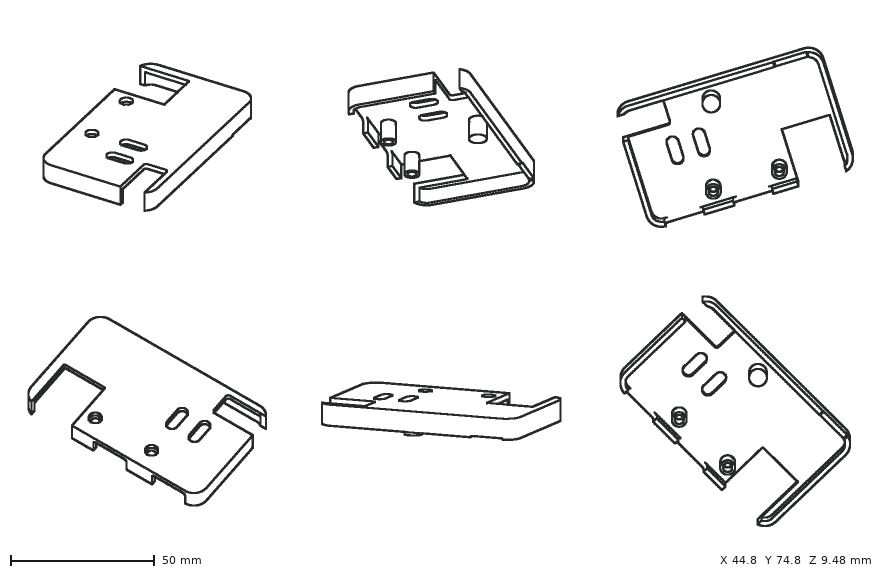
import cadquery as cq

LENGTH_X = 44.8
LENGTH_Y = 74.8
TOTAL_HEIGHT = 9.48
SHELL_HEIGHT = 7.5
PLATE_THICKNESS = 2.0
WALL = 1.8
INNER_CORNER_RADIUS = 3.6
OUTER_CORNER_RADIUS = INNER_CORNER_RADIUS + WALL

PLATE_UNDERSIDE = SHELL_HEIGHT - PLATE_THICKNESS
BOSS_BOTTOM = SHELL_HEIGHT - TOTAL_HEIGHT

LEFT = -LENGTH_X / 2
RIGHT = LENGTH_X / 2
FRONT = -LENGTH_Y / 2
BACK = LENGTH_Y / 2

BOSS_X = 15.0
SCREW_BOSS_DIAMETER = 5.2
SCREW_BOSS_YS = (11.5, -12.5)
SCREW_HOLE_DIAMETER = 3.2
SCREW_HEAD_DIAMETER = 4.6
SCREW_HEAD_DEPTH = 1.7
SCREW_SEAT_TAPER_HEIGHT = 0.7
SUPPORT_BOSS_DIAMETER = 6.2
SUPPORT_BOSS_Y = -4.0

BACK_OPENING_DEPTH = 19.9
BACK_OPENING_WIDTH = 17.4
BACK_OPENING_MARGIN = 3.8

FRONT_OPENING_WIDTH = 9.2
FRONT_OPENING_DEPTH = 17.3
FRONT_OPENING_MARGIN = 2.5
FRONT_OPENING_RADIUS = 1.0

WINDOW_WIDTH = 14.1
WINDOW_YS = (0.0, -25.0)
WINDOW_RADIUS = 1.0

RECESS_WIDTH = 12.4
RECESS_DEPTH = 0.5
RECESS_Y = 26.9
RECESS_CHAMFER = 0.4
RECESS_INNER_REACH = 1.0

SLOT_LENGTH = 10.1
SLOT_WIDTH = 4.15
SLOT_X = 1.3
SLOT_YS = (-11.8, -21.4)


def box_between(x_range, y_range, z_range):
    """Axis-aligned box given by its lower and upper limits."""
    (x0, x1), (y0, y1), (z0, z1) = x_range, y_range, z_range
    return cq.Workplane("XY").box(x1 - x0, y1 - y0, z1 - z0, centered=False).translate((x0, y0, z0))


def cylinder(diameter, x, y, z_bottom, z_top):
    """Vertical cylinder between two heights."""
    base = cq.Workplane("XY", origin=(x, y, z_bottom))
    return base.circle(diameter / 2).extrude(z_top - z_bottom)


def make_shell():
    """Rounded lid with a flat plate on top and a wall all round."""
    outer = cq.Workplane("XY").rect(LENGTH_X, LENGTH_Y).extrude(SHELL_HEIGHT)
    outer = outer.edges("|Z").fillet(OUTER_CORNER_RADIUS)
    cavity = cq.Workplane("XY").rect(LENGTH_X - 2 * WALL, LENGTH_Y - 2 * WALL).extrude(PLATE_UNDERSIDE)
    cavity = cavity.edges("|Z").fillet(INNER_CORNER_RADIUS)
    return outer.cut(cavity)


def back_opening():
    """Cutter that removes plate and wall at the back left corner."""
    y_top = BACK - BACK_OPENING_MARGIN
    return box_between(
        (LEFT, LEFT + BACK_OPENING_DEPTH),
        (y_top - BACK_OPENING_WIDTH, y_top),
        (0, SHELL_HEIGHT),
    )


def front_opening():
    """Cutter for the front right corner, with rounded inner corners."""
    x_right = RIGHT - FRONT_OPENING_MARGIN
    cutter = box_between(
        (x_right - FRONT_OPENING_WIDTH, x_right),
        (FRONT, FRONT + FRONT_OPENING_DEPTH),
        (0, SHELL_HEIGHT),
    )
    return cutter.edges("|Z and >Y").fillet(FRONT_OPENING_RADIUS)


def window(y):
    """Cutter for a window in the left wall, open at the rim."""
    cutter = box_between(
        (LEFT, LEFT + WALL),
        (y - WINDOW_WIDTH / 2, y + WINDOW_WIDTH / 2),
        (0, PLATE_UNDERSIDE),
    )
    return cutter.edges("|X and >Z").fillet(WINDOW_RADIUS)


def rim_recess():
    """Cutter for a shallow sloped-end recess in the right rim, reaching in past the rounded inner corner."""
    cutter = box_between(
        (RIGHT - WALL - RECESS_INNER_REACH, RIGHT),
        (RECESS_Y - RECESS_WIDTH / 2, RECESS_Y + RECESS_WIDTH / 2),
        (0, RECESS_DEPTH),
    )
    return cutter.edges("|X and >Z").chamfer(RECESS_CHAMFER)


def plate_slot(y):
    """Cutter for a round-ended slot through the plate."""
    base = cq.Workplane("XY", origin=(SLOT_X, y, PLATE_UNDERSIDE))
    return base.slot2D(SLOT_LENGTH, SLOT_WIDTH).extrude(PLATE_THICKNESS)


def screw_hole(y):
    """Cutter for a screw hole: a straight head recess, a tapered seat and a narrow through hole."""
    head_radius = SCREW_HEAD_DIAMETER / 2
    hole_radius = SCREW_HOLE_DIAMETER / 2
    seat_top = SHELL_HEIGHT - SCREW_HEAD_DEPTH
    seat_bottom = seat_top - SCREW_SEAT_TAPER_HEIGHT
    half_section = cq.Workplane("XZ").polyline(
        [
            (0, SHELL_HEIGHT),
            (head_radius, SHELL_HEIGHT),
            (head_radius, seat_top),
            (hole_radius, seat_bottom),
            (hole_radius, BOSS_BOTTOM),
            (0, BOSS_BOTTOM),
        ]
    ).close()
    return half_section.revolve(360, (0, 0), (0, 1)).translate((-BOSS_X, y, 0))


result = make_shell()

for cutter in (back_opening(), front_opening(), rim_recess()):
    result = result.cut(cutter)
for window_y in WINDOW_YS:
    result = result.cut(window(window_y))
for slot_y in SLOT_YS:
    result = result.cut(plate_slot(slot_y))

result = result.union(
    cylinder(SUPPORT_BOSS_DIAMETER, BOSS_X, SUPPORT_BOSS_Y, BOSS_BOTTOM, SHELL_HEIGHT)
)

for boss_y in SCREW_BOSS_YS:
    result = result.union(cylinder(SCREW_BOSS_DIAMETER, -BOSS_X, boss_y, BOSS_BOTTOM, SHELL_HEIGHT))
    result = result.cut(screw_hole(boss_y))